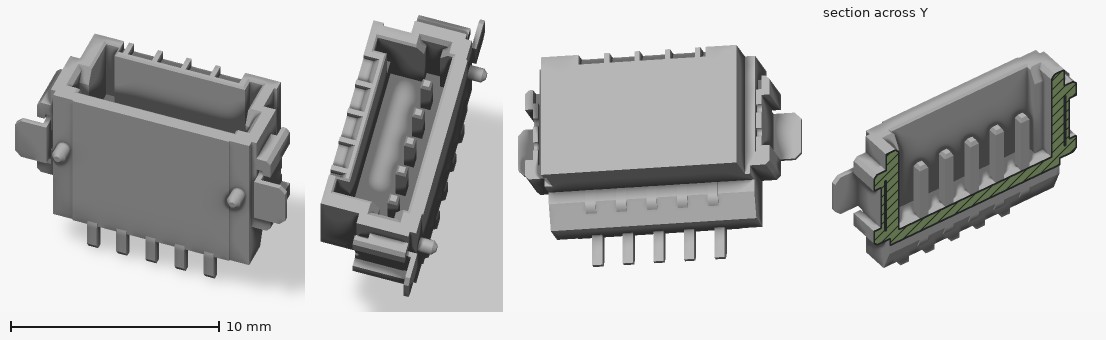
import cadquery as cq
import math


back_half_width = 4.8
shoulder_half_width = 5.3
front_half_width = 5.05
center_panel_half_width = 4.03
wing_half_width = 6.0
step_y = -1.92
shoulder_front_y = -4.5
side_panel_y = -4.82
center_panel_y = -4.89
back_bottom_z = -5.91
bottom_z = -7.7
foot_back_y = -2.9
foot_slope_z = -6.49
foot_bottom_y = -3.38
key_step = 0.14
key_step_y = -0.53

cavity_half_width = 4.03
cavity_back_y = -0.42
cavity_front_y = -4.14
tongue_half_width = 3.36
tongue_y = -1.05
floor_z = -5.14
corner_floor_z = -3.34
lead_in_side = 0.13
lead_in_back = 0.08
lead_in_depth = 0.1

notch_half_width = 4.52
notch_back_y = -2.72
notch_front_y = -3.53
notch_flare_y = 0.42
notch_flare_depth = 0.79
notch_flare_x = 0.21
notch_flare_x_depth = 0.24

pocket_left_x = -3.27
pocket_right_x = 2.96
pocket_depth = 0.49
pocket_floor_y = -0.5
pocket_rim_y = -0.8
rib_width = 0.25
rib_count = 4
rib_pitch = 1.49
first_rib_x = -2.89

side_center_z = -3.25
wing_half_height = 2.24
wing_chamfer = 0.2
window_half_height = 1.26
slot_half_height = 1.55
wing_notch_length = 0.67
groove_depth = 0.08
groove_length = 0.42
groove_half_height = 0.65

metal_thickness = 0.25
tab_inner_x = 5.35
tab_outer_x = 6.95
tab_front_y = -4.96
tab_half_height = 1.15
tab_chamfer = 0.3
tab_shoulder_y = -4.27
tab_shoulder_radius = 0.17
bite_radius = 0.21
bite_offset = 0.6

post_x = 4.5
post_radius = 0.35
post_tip_radius = 0.17
post_taper_y = -5.5
post_tip_y = -5.7

pin_count = 5
pin_pitch = 1.5
pin_size = 0.5
pin_y = -3.14
pin_top_z = -1.95
pin_tip_height = 0.21
pin_tip_size = 0.3
tail_front_y = -4.96
tail_end_z = -9.2
tail_chamfer_y = 0.2
tail_chamfer_z = 0.3
bend_radius = 0.35
upper_bend_z = -6.56
lower_bend_z = -7.77


def box(x0, x1, y0, y1, z0, z1):
    """Axis-aligned block between two opposite corners."""
    return cq.Workplane("XY").box(x1 - x0, y1 - y0, z1 - z0, centered=False).translate((x0, y0, z0))


def prism_x(points, x0, x1):
    """(Y, Z) outline extruded along X."""
    return cq.Workplane("YZ").polyline(points).close().extrude(x1 - x0).translate((x0, 0, 0))


def prism_y(points, y0, y1):
    """(X, Z) outline extruded along Y."""
    return cq.Workplane("XZ").polyline(points).close().extrude(y1 - y0).translate((0, y1, 0))


def mirrored(solid):
    """The solid together with its mirror image across X = 0."""
    return solid.union(solid.mirror("YZ"))


def housing_blank():
    back = box(-back_half_width, back_half_width, step_y, 0, back_bottom_z, 0)
    key = box(back_half_width - key_step, back_half_width, step_y, key_step_y, back_bottom_z, 0)
    side_profile = [
        (step_y, 0),
        (step_y, back_bottom_z),
        (foot_back_y, back_bottom_z),
        (foot_back_y, foot_slope_z),
        (foot_bottom_y, bottom_z),
        (side_panel_y, bottom_z),
        (side_panel_y, 0),
    ]
    front = prism_x(side_profile, -front_half_width, front_half_width)
    panel = box(-center_panel_half_width, center_panel_half_width,
                center_panel_y, side_panel_y, bottom_z, 0)
    shoulder = box(-shoulder_half_width, shoulder_half_width, shoulder_front_y, step_y,
                   side_center_z - wing_half_height, 0)
    return back.cut(key).union(front).union(panel).union(shoulder)


def cavity_outline(plane, side_gap, back_gap):
    """Cavity outline, widened by the given gaps, drawn on a workplane."""
    x_side = cavity_half_width + side_gap
    x_tongue = tongue_half_width - side_gap
    y_back = cavity_back_y + back_gap
    y_tongue = tongue_y + back_gap
    y_front = cavity_front_y - side_gap
    return plane.polyline([
        (-x_side, y_front),
        (x_side, y_front),
        (x_side, y_back),
        (x_tongue, y_back),
        (x_tongue, y_tongue),
        (-x_tongue, y_tongue),
        (-x_tongue, y_back),
        (-x_side, y_back),
    ]).close()


def cavity():
    shallow = cavity_outline(cq.Workplane("XY"), 0, 0).extrude(corner_floor_z)
    deep = box(-cavity_half_width, cavity_half_width, cavity_front_y, tongue_y, floor_z, 0)
    lead_in_base = cavity_outline(cq.Workplane("XY").workplane(offset=-lead_in_depth), 0, 0)
    lead_in_top = lead_in_base.workplane(offset=lead_in_depth)
    lead_in = cavity_outline(lead_in_top, lead_in_side, lead_in_back).loft(ruled=True)
    return shallow.union(deep).union(lead_in)


def side_notches():
    """Slot across the cavity, flared at the rim along Y and along X."""
    across = prism_x([
        (notch_back_y + notch_flare_y, 0),
        (notch_back_y, -notch_flare_depth),
        (notch_back_y, floor_z),
        (notch_front_y, floor_z),
        (notch_front_y, -notch_flare_depth),
        (notch_front_y - notch_flare_y, 0),
    ], -shoulder_half_width, shoulder_half_width)
    flare_half_width = notch_half_width + notch_flare_x
    along = prism_y([
        (-flare_half_width, 0),
        (-notch_half_width, -notch_flare_x_depth),
        (-notch_half_width, floor_z),
        (notch_half_width, floor_z),
        (notch_half_width, -notch_flare_x_depth),
        (flare_half_width, 0),
    ], center_panel_y, 0)
    return across.intersect(along)


def back_pockets():
    """Shallow pocket with a sloped front wall, divided by ribs."""
    pocket = prism_x([
        (0, 0),
        (0, -pocket_depth),
        (pocket_floor_y, -pocket_depth),
        (pocket_rim_y, 0),
    ], pocket_left_x, pocket_right_x)
    for i in range(rib_count):
        x0 = first_rib_x + i * rib_pitch - rib_width / 2
        pocket = pocket.cut(box(x0, x0 + rib_width, pocket_rim_y, 0, -pocket_depth, 0))
    return pocket


def wing():
    """+X wing: a slot for the metal tab behind a window."""
    top_z = side_center_z + wing_half_height
    slot_outer_x = tab_inner_x + metal_thickness
    blank = (
        box(shoulder_half_width, wing_half_width, shoulder_front_y, step_y,
            side_center_z - wing_half_height, top_z)
        .edges(">X and |Y").chamfer(wing_chamfer)
    )
    window = box(shoulder_half_width, wing_half_width, shoulder_front_y, step_y,
                 side_center_z - window_half_height, side_center_z + window_half_height)
    slot = box(shoulder_half_width, slot_outer_x, shoulder_front_y, step_y,
               side_center_z - slot_half_height, side_center_z + slot_half_height)
    top_notch = box(shoulder_half_width, slot_outer_x, step_y - wing_notch_length, step_y,
                    side_center_z, top_z)
    return blank.cut(window).cut(slot).cut(top_notch)


def shoulder_groove():
    """Short groove at the front of the +X shoulder behind the metal tab."""
    return box(shoulder_half_width - groove_depth, shoulder_half_width,
               shoulder_front_y, shoulder_front_y + groove_length,
               side_center_z - groove_half_height, side_center_z + groove_half_height)


def metal_tab():
    """+X hold-down: an upright plate in the wing slot, bent outward at the front."""
    inner_radius = slot_half_height - tab_half_height - tab_shoulder_radius
    arc_mid = math.sqrt(0.5)
    shoulder_z = slot_half_height - tab_shoulder_radius
    upper_half = (
        cq.Workplane("YZ").workplane(offset=tab_inner_x)
        .moveTo(step_y, 0)
        .lineTo(step_y, slot_half_height)
        .lineTo(tab_shoulder_y + tab_shoulder_radius, slot_half_height)
        .threePointArc((tab_shoulder_y + tab_shoulder_radius * (1 - arc_mid),
                        shoulder_z + tab_shoulder_radius * arc_mid),
                       (tab_shoulder_y, shoulder_z))
        .threePointArc((tab_shoulder_y - inner_radius * (1 - arc_mid),
                        shoulder_z - inner_radius * arc_mid),
                       (tab_shoulder_y - inner_radius, tab_half_height))
        .lineTo(tab_front_y, tab_half_height)
        .lineTo(tab_front_y, 0)
        .close()
        .extrude(metal_thickness)
    )
    plate = upper_half.union(upper_half.mirror("XY")).clean()
    bites = (
        cq.Workplane("YZ").workplane(offset=tab_inner_x)
        .pushPoints([(step_y, bite_offset), (step_y, -bite_offset)])
        .circle(bite_radius).extrude(metal_thickness)
    )
    foot = (
        box(tab_inner_x, tab_outer_x, tab_front_y, tab_front_y + metal_thickness,
            -tab_half_height, tab_half_height)
        .edges(">X and |Y").chamfer(tab_chamfer)
    )
    return plate.cut(bites).union(foot).translate((0, 0, side_center_z))


def post():
    """+X locating post with a tapered tip."""
    return (
        cq.Workplane("XY")
        .polyline([
            (0, side_panel_y),
            (post_radius, side_panel_y),
            (post_radius, post_taper_y),
            (post_tip_radius, post_tip_y),
            (0, post_tip_y),
        ])
        .close()
        .revolve(360, (0, 0), (0, 1))
        .translate((post_x, 0, side_center_z))
    )


def pin():
    """Square contact at X = 0: down through the floor, sloping forward, then down as a tail."""
    tail_y = tail_front_y + pin_size / 2
    upper_y = pin_y - bend_radius
    lower_y = tail_y + bend_radius
    run = upper_y - lower_y
    drop = upper_bend_z - lower_bend_z
    slope = math.atan2(run, drop) + math.asin(2 * bend_radius / math.hypot(run, drop))

    def on_bend(side, y, z, angle):
        return (y + side * bend_radius * math.cos(angle), z - side * bend_radius * math.sin(angle))

    shank_top_z = pin_top_z - pin_tip_height
    path = (
        cq.Workplane("YZ")
        .moveTo(pin_y, shank_top_z)
        .lineTo(pin_y, upper_bend_z)
        .threePointArc(on_bend(1, upper_y, upper_bend_z, slope / 2),
                       on_bend(1, upper_y, upper_bend_z, slope))
        .lineTo(*on_bend(-1, lower_y, lower_bend_z, slope))
        .threePointArc(on_bend(-1, lower_y, lower_bend_z, slope / 2), (tail_y, lower_bend_z))
        .lineTo(tail_y, tail_end_z)
    )
    shank_plane = cq.Workplane("XY", origin=(0, pin_y, shank_top_z))
    shank = shank_plane.rect(pin_size, pin_size).sweep(path)
    taper = math.degrees(math.atan((pin_size - pin_tip_size) / 2 / pin_tip_height))
    tip = shank_plane.rect(pin_size, pin_size).extrude(pin_tip_height, taper=taper)
    tail_corner = prism_x([
        (tail_front_y, tail_end_z),
        (tail_front_y + tail_chamfer_y, tail_end_z),
        (tail_front_y, tail_end_z + tail_chamfer_z),
    ], -pin_size / 2, pin_size / 2)
    return shank.union(tip).cut(tail_corner)


result = housing_blank().cut(cavity()).cut(side_notches()).cut(back_pockets())
result = result.cut(mirrored(shoulder_groove()))
result = result.union(mirrored(wing())).union(mirrored(post()))

result = result.union(mirrored(metal_tab()))
for i in range(pin_count):
    result = result.union(pin().translate(((i - (pin_count - 1) / 2) * pin_pitch, 0, 0)))